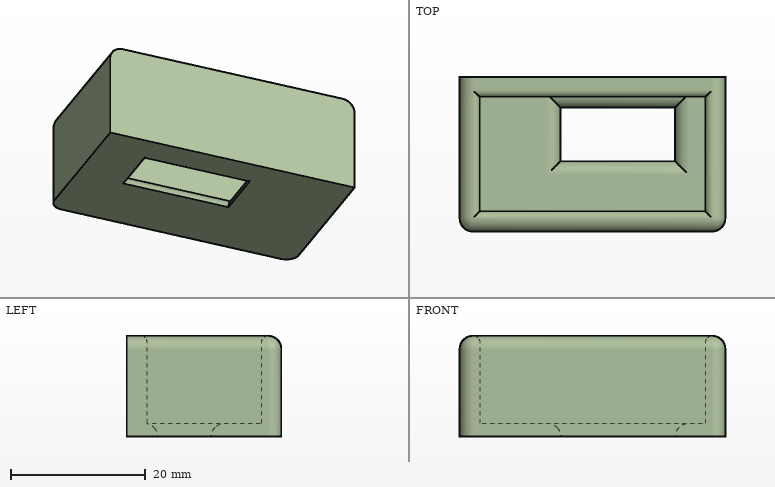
import cadquery as cq

LENGTH = 39.5
DEPTH = 23.0
HEIGHT = 15.0
WALL = 3.0
FLOOR = 2.0

OUTER_ROUND = 2.0
RIM_ROUND = 0.95
WINDOW_ROUND = 1.98

WINDOW_LENGTH = 17.0
WINDOW_DEPTH = 7.95
WINDOW_RIGHT_MARGIN = 7.5
WINDOW_BACK_MARGIN = 4.6

CAVITY_LENGTH = LENGTH - 2 * WALL
CAVITY_DEPTH = DEPTH - 2 * WALL
WINDOW_X = LENGTH / 2 - WINDOW_RIGHT_MARGIN - WINDOW_LENGTH / 2
WINDOW_Y = DEPTH / 2 - WINDOW_BACK_MARGIN - WINDOW_DEPTH / 2


def upright_block(length, depth, height):
    """Box standing on Z = 0, centred on X and Y."""
    return cq.Workplane("XY").box(length, depth, height, centered=(True, True, False))


def make_walls():
    """Four walls, rounded outside everywhere except on the flat back and bottom."""
    body = upright_block(LENGTH, DEPTH, HEIGHT)
    body = body.edges("(<Y and |Z) or (>Z and (not >Y))").fillet(OUTER_ROUND)
    return body.cut(upright_block(CAVITY_LENGTH, CAVITY_DEPTH, HEIGHT))


def round_inner_rim(walls):
    """Round the four edges where the cavity meets the top rim."""
    half_length = CAVITY_LENGTH / 2 + RIM_ROUND / 2
    half_depth = CAVITY_DEPTH / 2 + RIM_ROUND / 2
    rim_edges = cq.selectors.BoxSelector(
        (-half_length, -half_depth, HEIGHT - RIM_ROUND / 2),
        (half_length, half_depth, HEIGHT + RIM_ROUND / 2),
    )
    return walls.edges(rim_edges).fillet(RIM_ROUND)


def make_floor():
    """Floor plate reaching halfway into the walls, with a window rounded on its top side."""
    plate = upright_block(CAVITY_LENGTH + WALL, CAVITY_DEPTH + WALL, FLOOR)
    window = upright_block(WINDOW_LENGTH, WINDOW_DEPTH, FLOOR).translate((WINDOW_X, WINDOW_Y, 0))
    plate = plate.cut(window)
    return plate.faces(">Z").wires(cq.selectors.LengthNthSelector(0)).edges().fillet(WINDOW_ROUND)


result = round_inner_rim(make_walls()).union(make_floor())